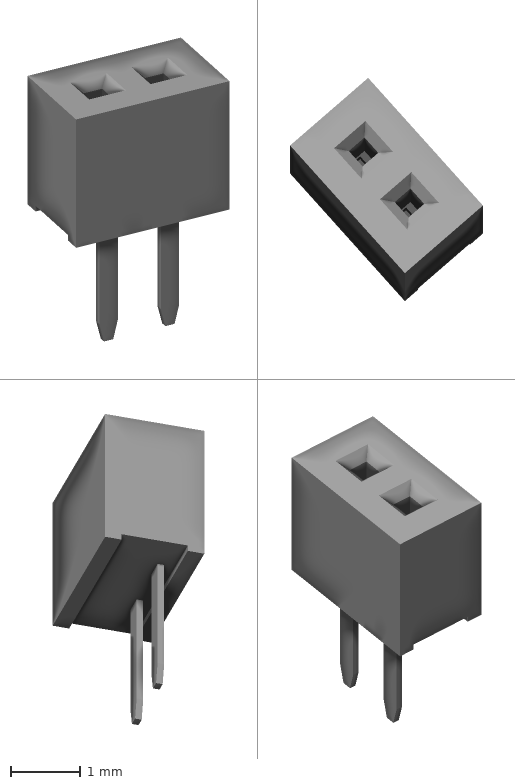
import cadquery as cq

body_x = 1.5
body_y = 2.5
body_height = 2.1
total_height = 4.0

channel_width = 1.0
channel_depth = 0.09

pitch = 1.0
contact_positions = (-pitch / 2, pitch / 2)

mouth_side = 0.6
hole_side = mouth_side / 2
funnel_depth = (mouth_side - hole_side) / 2
hole_depth = 1.0
slot_width = 0.1
slot_length = 0.26
slot_depth = 0.2

pin_thickness = 0.1
pin_width = 0.3
pin_offset_x = 0.285
pin_bottom = body_height - total_height
tip_height = 0.3
tip_width = pin_width / 2


def straight_pocket(y, top_z, depth, size_x, size_y):
    """Rectangular pocket volume with upright walls."""
    return cq.Workplane("XY", origin=(0, y, top_z - depth)).rect(size_x, size_y).extrude(depth)


def socket(y):
    """Complete cavity entered from the top of the housing."""
    hole_top = body_height - funnel_depth
    hole_floor = hole_top - hole_depth
    funnel = (
        cq.Workplane("XY", origin=(0, y, hole_top))
        .rect(hole_side, hole_side)
        .workplane(offset=funnel_depth)
        .rect(mouth_side, mouth_side)
        .loft(ruled=True)
    )
    hole = straight_pocket(y, hole_top, hole_depth, hole_side, hole_side)
    slot = straight_pocket(y, hole_floor, slot_depth, slot_width, slot_length)
    return funnel.union(hole).union(slot)


def pin(y):
    """Blade hanging from the channel ceiling, tapered across Y at its tip."""
    half_width = pin_width / 2
    half_tip = tip_width / 2
    tip_start = pin_bottom + tip_height
    return (
        cq.Workplane("YZ", origin=(pin_offset_x, y, 0))
        .moveTo(-half_width, channel_depth)
        .lineTo(-half_width, tip_start)
        .lineTo(-half_tip, pin_bottom)
        .lineTo(half_tip, pin_bottom)
        .lineTo(half_width, tip_start)
        .lineTo(half_width, channel_depth)
        .close()
        .extrude(pin_thickness / 2, both=True)
    )


housing = cq.Workplane("XY").rect(body_x, body_y).extrude(body_height)
channel = cq.Workplane("XY").rect(channel_width, body_y).extrude(channel_depth)
result = housing.cut(channel)

for contact_y in contact_positions:
    result = result.cut(socket(contact_y)).union(pin(contact_y))